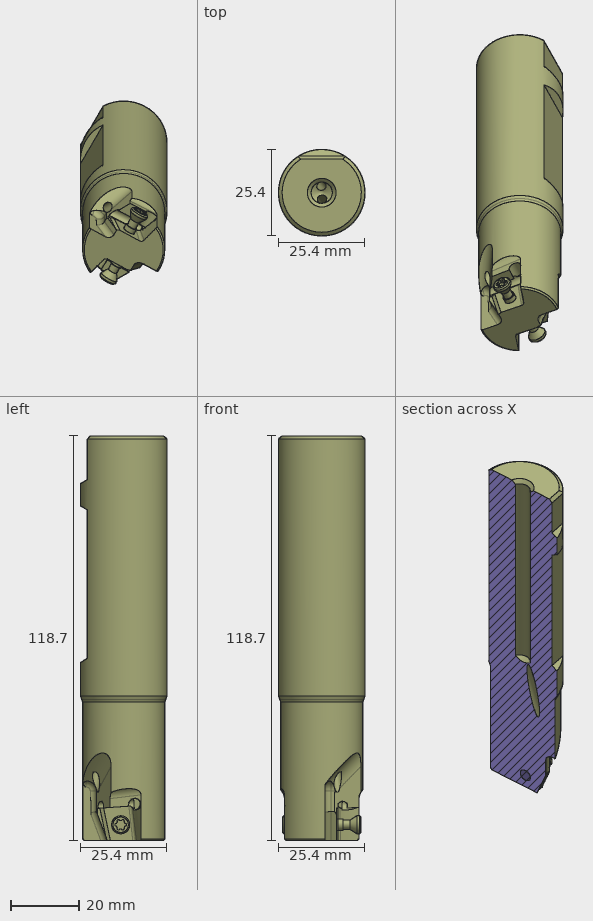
import cadquery as cq
import math

total_length = 118.65
shank_radius = 12.7
neck_radius = 12.05
shank_bottom_z = 42.4
step_cone_bottom_z = 41.4
step_cone_radius = 12.35
neck_top_z = 40.6
nose_chamfer = 0.5
top_chamfer_radial = 1.1
top_chamfer_height = 0.9
side_overshoot = 1.0
below_nose = 1.0
far = 40.0

flat_y = 10.75
flat_runout_height = 1.2
upper_flat_bottom_z = 105.8
lower_flat_top_z = 96.9
lower_flat_bottom_z = 53.4

bore_radius = 3.1
bore_mouth_radius = 4.2
bore_bottom_z = 50.0
drill_point_half_angle = math.radians(59)
coolant_radius = 1.35
coolant_start_y = -1.8
coolant_end = cq.Vector(5.3, -8.8, 14.0)


flute_wall_x = 0.9
flute_roof_start_z = 17.2
flute_roof_slope = 1.03
flute_strip_y = -8.0
flute_strip_end_x = 3.8
flute_floor_end_x = 11.3
flute_floor_end_y = -3.8
flute_roof_fillet = 6.8
flute_wall_fillet = 1.8
strip_top_z = 17.5
strip_top_fillet = 3.0
strip_bend_z = 8.5
strip_bottom_y = -4.8

seat_x = 4.7
pocket_height = 10.0
pocket_roof_tilt = math.radians(4)
pocket_wall_top_y = 2.2
pocket_wall_bottom_y = 3.5
pocket_wall_outer_y = 5.1
pocket_corner_fillet = 1.1
seat_edge_top_y = -5.9
seat_edge_bottom_y = -3.9
seat_edge_chamfer_x = 0.4
seat_edge_chamfer_y = 1.1
clearance_x = 10.95
clearance_straight_z = 12.8
clearance_radius = 3.0
clearance_tilt = 7.0
corner_relief_radius = 1.8
corner_relief_start = cq.Vector(6.0, 3.0, 10.8)
corner_relief_direction = cq.Vector(1, 0.05, -0.05)
roof_groove_radius = 1.4
roof_groove_x = 6.1
roof_groove_z = 10.8
roof_groove_end_y = 3.0

screw_y = -0.9
screw_z = 4.65
screw_tip_x = 1.5
screw_shank_radius = 1.75
screw_neck_start_x = 6.2
screw_neck_radius = 1.4
screw_cone_start_x = 8.3
screw_rim_start_x = 10.3
screw_head_radius = 2.65
screw_head_top_x = 11.5
screw_rim_chamfer = 0.4
socket_radius = 1.3
socket_lobe_radius = 0.4
socket_lobes = 6
socket_depth = 1.2

tooth_angles = (0, 180)


def turned_about_axis(shape, angle):
    return shape.rotate((0, 0, 0), (0, 0, 1), angle)


def make_blank():
    """Turned shank and neck with the clamping flats and the chamfered top edge."""
    body = (
        cq.Workplane("XZ")
        .moveTo(0, 0)
        .lineTo(neck_radius - nose_chamfer, 0)
        .lineTo(neck_radius, nose_chamfer)
        .lineTo(neck_radius, neck_top_z)
        .lineTo(step_cone_radius, step_cone_bottom_z)
        .lineTo(shank_radius, shank_bottom_z)
        .lineTo(shank_radius, total_length)
        .lineTo(0, total_length)
        .close()
        .revolve(360, (0, 0, 0), (0, 1, 0))
    )
    body = body.cut(make_clamping_flats())
    return body.faces(">Z").edges().chamfer(top_chamfer_height, top_chamfer_radial)


def make_clamping_flats():
    """Two flats with sloped run-outs; the ring between them stays at full diameter."""
    upper = (
        cq.Workplane("YZ")
        .moveTo(flat_y, far + total_length)
        .lineTo(flat_y, upper_flat_bottom_z)
        .lineTo(shank_radius, upper_flat_bottom_z - flat_runout_height)
        .lineTo(shank_radius, far + total_length)
        .close()
        .extrude(shank_radius, both=True)
    )
    lower = (
        cq.Workplane("YZ")
        .moveTo(flat_y, lower_flat_top_z)
        .lineTo(flat_y, lower_flat_bottom_z)
        .lineTo(shank_radius, lower_flat_bottom_z - flat_runout_height)
        .lineTo(shank_radius, lower_flat_top_z + flat_runout_height)
        .close()
        .extrude(shank_radius, both=True)
    )
    return upper.union(lower)


def make_bore():
    """Central coolant bore with a chamfered mouth and a drill-point bottom."""
    mouth_depth = bore_mouth_radius - bore_radius
    return (
        cq.Workplane("XZ")
        .moveTo(0, bore_bottom_z - bore_radius / math.tan(drill_point_half_angle))
        .lineTo(bore_radius, bore_bottom_z)
        .lineTo(bore_radius, total_length - mouth_depth)
        .lineTo(bore_mouth_radius, total_length)
        .lineTo(0, total_length)
        .close()
        .revolve(360, (0, 0, 0), (0, 1, 0))
    )


def make_coolant_hole():
    """Slanted branch from the bore bottom out into the flute."""
    start = cq.Vector(0, coolant_start_y, bore_bottom_z)
    path = coolant_end - start
    return cq.Workplane(cq.Solid.makeCylinder(coolant_radius, path.Length, start, path))


def make_flute():
    """Open gullet with a slanted floor and a rising roof joined by a large fillet."""
    floor_slope = (flute_floor_end_y - flute_strip_y) / (flute_floor_end_x - flute_strip_end_x)

    def floor_y(x):
        return flute_strip_y + floor_slope * (x - flute_strip_end_x)

    outline = (
        cq.Workplane("XZ")
        .polyline([
            (flute_wall_x, -far),
            (flute_wall_x, flute_roof_start_z),
            (flute_wall_x + far, flute_roof_start_z + flute_roof_slope * far),
            (flute_wall_x + far, -far),
        ])
        .close()
        .extrude(far, both=True)
    )
    depth = (
        cq.Workplane("XY")
        .polyline([(-far, -far), (-far, floor_y(-far)), (far, floor_y(far)), (far, -far)])
        .close()
        .extrude(2 * far, both=True)
    )
    flute = outline.intersect(depth)
    roof_edge = cq.selectors.BoxSelector(
        (flute_strip_end_x, -far / 2, flute_roof_start_z), (far, far, 2 * far)
    )
    return flute.edges(roof_edge).fillet(flute_roof_fillet)


def make_flute_strip():
    """Deeper strip along the flute wall whose lower floor slopes in toward the axis."""
    slope = (flute_strip_y - strip_bottom_y) / strip_bend_z
    strip = (
        cq.Workplane("YZ", origin=(flute_wall_x, 0, 0))
        .polyline([
            (-far, strip_top_z),
            (flute_strip_y, strip_top_z),
            (flute_strip_y, strip_bend_z),
            (strip_bottom_y - slope * below_nose, -below_nose),
            (-far, -below_nose),
        ])
        .close()
        .extrude(seat_x - seat_edge_chamfer_x - flute_wall_x)
    )
    upper_wall_edge = cq.selectors.NearestToPointSelector(
        (flute_wall_x, flute_strip_y, (strip_bend_z + strip_top_z) / 2)
    )
    lower_wall_edge = cq.selectors.NearestToPointSelector(
        (flute_wall_x, (flute_strip_y + strip_bottom_y) / 2, strip_bend_z / 2)
    )
    top_edge = cq.selectors.NearestToPointSelector((flute_strip_end_x, flute_strip_y, strip_top_z))
    strip = strip.edges(top_edge).fillet(strip_top_fillet)
    return strip.edges(upper_wall_edge + lower_wall_edge).fillet(flute_wall_fillet)


def make_insert_pocket():
    """Seat facing +X, a flared side wall and a tilted roof."""
    outer_x = neck_radius + side_overshoot

    def section(height, roof_tilt, wall_y, seat_edge_y):
        wall_slope = (pocket_wall_outer_y - wall_y) / (clearance_x - seat_x)
        chamfer_x = seat_x - seat_edge_chamfer_x
        corners = [
            (outer_x, -far),
            (outer_x, wall_y + wall_slope * (outer_x - seat_x)),
            (seat_x, wall_y),
            (seat_x, seat_edge_y),
            (chamfer_x, seat_edge_y - seat_edge_chamfer_y),
            (chamfer_x, -far),
        ]
        points = [cq.Vector(x, y, height + y * math.tan(roof_tilt)) for x, y in corners]
        return cq.Wire.makePolygon(points, close=True)

    bottom = section(0, 0, pocket_wall_bottom_y, seat_edge_bottom_y)
    top = section(pocket_height, pocket_roof_tilt, pocket_wall_top_y, seat_edge_top_y)
    pocket = cq.Workplane(cq.Solid.makeLoft([bottom, top], True))
    corner_y = (pocket_wall_bottom_y + pocket_wall_top_y) / 2
    inner_corner = cq.selectors.NearestToPointSelector((seat_x, corner_y, pocket_height / 2))
    return pocket.edges(inner_corner).fillet(pocket_corner_fillet)


def make_clearance():
    """Shallow flat above the pocket, running out through a concave arc."""
    arc_end_x = neck_radius + side_overshoot
    rise = math.sqrt(clearance_radius**2 - (clearance_radius - (arc_end_x - clearance_x)) ** 2)
    half_angle = math.acos(1 - (arc_end_x - clearance_x) / clearance_radius) / 2
    arc_middle = (
        clearance_x + clearance_radius * (1 - math.cos(half_angle)),
        clearance_straight_z + clearance_radius * math.sin(half_angle),
    )
    return (
        cq.Workplane("XZ")
        .moveTo(clearance_x, pocket_height / 2)
        .lineTo(clearance_x, clearance_straight_z)
        .threePointArc(arc_middle, (arc_end_x, clearance_straight_z + rise))
        .lineTo(arc_end_x, pocket_height / 2)
        .close()
        .extrude(neck_radius, both=True)
        .rotate((0, 0, clearance_straight_z), (1, 0, clearance_straight_z), clearance_tilt)
    )


def make_corner_relief():
    """Round relief in the outer roof corner of the pocket."""
    relief = cq.Solid.makeCylinder(
        corner_relief_radius, neck_radius, corner_relief_start, corner_relief_direction
    )
    return cq.Workplane(relief)


def make_roof_groove():
    """Round groove along the pocket roof above the seat."""
    direction = cq.Vector(0, -1, -math.tan(pocket_roof_tilt))
    start = cq.Vector(roof_groove_x, roof_groove_end_y, roof_groove_z)
    return cq.Workplane(cq.Solid.makeCylinder(roof_groove_radius, 2 * neck_radius, start, direction))


def make_screw():
    """Shank, neck, conical head and a six-lobed socket."""
    screw = (
        cq.Workplane("XY")
        .moveTo(screw_tip_x, 0)
        .lineTo(screw_tip_x, screw_shank_radius)
        .lineTo(screw_neck_start_x, screw_shank_radius)
        .lineTo(screw_neck_start_x, screw_neck_radius)
        .lineTo(screw_cone_start_x, screw_neck_radius)
        .lineTo(screw_rim_start_x, screw_head_radius)
        .lineTo(screw_head_top_x - screw_rim_chamfer, screw_head_radius)
        .lineTo(screw_head_top_x, screw_head_radius - screw_rim_chamfer)
        .lineTo(screw_head_top_x, 0)
        .close()
        .revolve(360, (0, 0, 0), (1, 0, 0))
    )
    socket_floor = cq.Workplane("YZ", origin=(screw_head_top_x - socket_depth, 0, 0))
    lobe_centers = socket_floor.polarArray(socket_radius, 0, 360, socket_lobes)
    lobes = lobe_centers.circle(socket_lobe_radius).extrude(far)
    socket = socket_floor.circle(socket_radius).extrude(far).union(lobes)
    return screw.cut(socket).translate((0, screw_y, screw_z))


def make_screw_hole():
    """Hole in the seat that the screw shank fills."""
    return cq.Workplane("YZ", origin=(screw_tip_x, screw_y, screw_z)).circle(screw_shank_radius).extrude(far)


holder = make_blank().cut(make_bore())
cutters = [
    make_coolant_hole(),
    make_flute(),
    make_flute_strip(),
    make_insert_pocket(),
    make_clearance(),
    make_corner_relief(),
    make_roof_groove(),
    make_screw_hole(),
]
for angle in tooth_angles:
    for cutter in cutters:
        holder = holder.cut(turned_about_axis(cutter, angle))

screws = [turned_about_axis(make_screw(), angle) for angle in tooth_angles]

result = cq.Compound.makeCompound([holder.val(), *[screw.val() for screw in screws]])